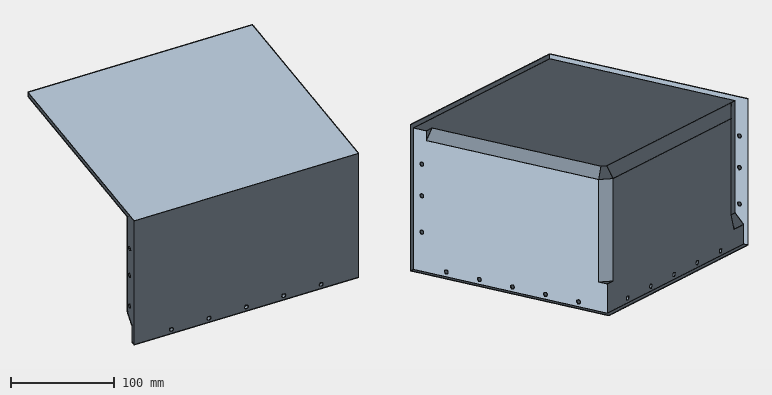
import cadquery as cq
import math

length_x = 230.0
length_y = 242.0
height = 150.0

sheet = 5.0

strip_leg = 10.0
flange_depth = 7.0
strip_bottom = 30.0
strip_setback = 15.0

hole_diameter = 4.0
edge_hole_inset = 10.0
edge_hole_heights = (40.2, 77.5, 109.9)
bottom_hole_height = 5.0
bottom_hole_count = 5
flange_hole_depth = flange_depth

wall_x = length_x - sheet
back_y = length_y - sheet
ceiling_z = height - sheet


def block(x_range, y_range, z_range):
    """Box spanning the given coordinate ranges."""
    (x0, x1), (y0, y1), (z0, z1) = x_range, y_range, z_range
    return cq.Workplane("XY").box(x1 - x0, y1 - y0, z1 - z0, centered=False).translate((x0, y0, z0))


def panels():
    """Top panel, side wall and back wall meeting in one corner."""
    outer = block((0, length_x), (0, length_y), (0, height))
    return outer.cut(block((0, wall_x), (0, back_y), (0, ceiling_z)))


def back_top_strip():
    """Triangular strip between the back wall and the top panel."""
    profile = [(back_y, ceiling_z), (back_y - strip_leg, ceiling_z), (back_y, ceiling_z - strip_leg)]
    strip = cq.Workplane("YZ").polyline(profile).close().extrude(wall_x - strip_setback)
    return strip.translate((strip_setback, 0, 0))


def side_top_strip():
    """Triangular strip between the side wall and the top panel."""
    profile = [(wall_x, ceiling_z), (wall_x - strip_leg, ceiling_z), (wall_x, ceiling_z - strip_leg)]
    return cq.Workplane("XZ").polyline(profile).close().extrude(-back_y)


def corner_strip():
    """Triangular upright strip between the side wall and the back wall."""
    profile = [(wall_x, back_y), (wall_x - strip_leg, back_y), (wall_x, back_y - strip_leg)]
    strip = cq.Workplane("XY").polyline(profile).close().extrude(ceiling_z - strip_bottom)
    return strip.translate((0, 0, strip_bottom))


def corner_gusset():
    """Piece under the top panel, sloped at 45 degrees from it to the face of the corner strip."""
    ceiling_leg = strip_leg * (1 + math.sqrt(2))

    def triangle(leg):
        return [(wall_x, back_y), (wall_x - leg, back_y), (wall_x, back_y - leg)]

    lower = cq.Workplane("XY", origin=(0, 0, ceiling_z - strip_leg)).polyline(triangle(strip_leg)).close()
    upper = lower.workplane(offset=strip_leg).polyline(triangle(ceiling_leg)).close()
    return upper.loft(ruled=True)


def flange():
    """Upright flange on the side wall, sloped to the wall behind and below."""
    root_bottom = strip_bottom - strip_leg
    root_depth = flange_depth + strip_leg
    body = block((wall_x - strip_leg, wall_x), (0, root_depth), (root_bottom, ceiling_z))
    rear_slope = [
        (wall_x - strip_leg, flange_depth),
        (wall_x - strip_leg, root_depth),
        (wall_x, root_depth),
    ]
    lower_slope = [
        (wall_x - strip_leg, strip_bottom),
        (wall_x - strip_leg, root_bottom),
        (wall_x, root_bottom),
    ]
    body = body.cut(cq.Workplane("XY").polyline(rear_slope).close().extrude(height))
    return body.cut(cq.Workplane("XZ").polyline(lower_slope).close().extrude(-root_depth))


def holes_along_y(points, start_y, depth):
    """Round cutters at (x, z) points, running toward +Y."""
    cutters = cq.Workplane("XZ").pushPoints(points).circle(hole_diameter / 2).extrude(-depth)
    return cutters.translate((0, start_y, 0))


def holes_along_x(points, start_x, depth):
    """Round cutters at (y, z) points, running toward +X."""
    cutters = cq.Workplane("YZ").pushPoints(points).circle(hole_diameter / 2).extrude(depth)
    return cutters.translate((start_x, 0, 0))


def bottom_row(wall_length):
    """Evenly spaced hole centres along the lower edge of a wall."""
    pitch = wall_length / (bottom_hole_count + 1)
    return [(pitch * (i + 1), bottom_hole_height) for i in range(bottom_hole_count)]


back_edge_points = [(edge_hole_inset, z) for z in edge_hole_heights]
flange_points = [(length_x - edge_hole_inset, z) for z in edge_hole_heights]

result = panels()
for reinforcement in (back_top_strip(), side_top_strip(), corner_strip(), corner_gusset(), flange()):
    result = result.union(reinforcement)

result = result.cut(holes_along_y(back_edge_points + bottom_row(length_x), back_y, sheet))
result = result.cut(holes_along_x(bottom_row(length_y), wall_x, sheet))

result = result.cut(holes_along_y(flange_points, 0, flange_hole_depth))